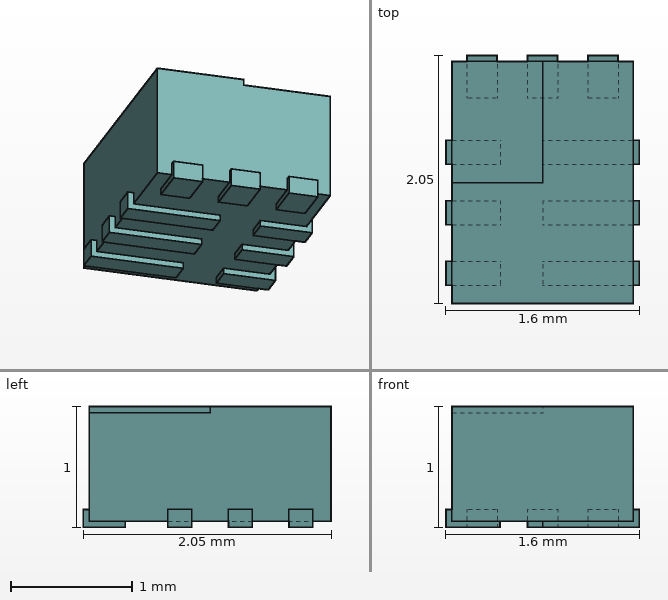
import cadquery as cq

BODY_X = 1.5
BODY_Y = 2.0
TOTAL_Z = 1.0

RECESS_X = BODY_X / 2
RECESS_Y = BODY_Y / 2
RECESS_DEPTH = 0.05

PLATING = 0.05
LIP_HEIGHT = 0.15
PITCH = 0.5
SIDE_WIDTH = 0.2
LEFT_REACH = 0.4
RIGHT_REACH = BODY_X / 2
SIDE_FIRST_Y = -0.75
SIDE_COUNT = 3
BACK_WIDTH = 0.25
BACK_REACH = 0.3
BACK_POSITIONS = (-PITCH, 0, PITCH)


def make_body():
    """Block standing on the feet, with the recess at its -X, +Y corner."""
    block = (
        cq.Workplane("XY")
        .workplane(offset=PLATING)
        .rect(BODY_X, BODY_Y)
        .extrude(TOTAL_Z - PLATING)
    )
    recess = cq.Workplane("XY").box(RECESS_X, RECESS_Y, RECESS_DEPTH, centered=False)
    return block.cut(recess.translate((-BODY_X / 2, 0, TOTAL_Z - RECESS_DEPTH)))


def make_terminal(width, reach):
    """Terminal for a wall in the plane X = 0, with the body on its -X side."""
    return (
        cq.Workplane("XZ")
        .moveTo(-reach, 0)
        .lineTo(PLATING, 0)
        .lineTo(PLATING, LIP_HEIGHT)
        .lineTo(0, LIP_HEIGHT)
        .lineTo(0, PLATING)
        .lineTo(-reach, PLATING)
        .close()
        .extrude(width / 2, both=True)
    )


def turn(shape, angle):
    """Rotate a shape about the Z axis."""
    return shape.rotate((0, 0, 0), (0, 0, 1), angle)


right_terminal = make_terminal(SIDE_WIDTH, RIGHT_REACH)
left_terminal = turn(make_terminal(SIDE_WIDTH, LEFT_REACH), 180)
back_terminal = turn(make_terminal(BACK_WIDTH, BACK_REACH), 90)

result = make_body()
for index in range(SIDE_COUNT):
    y = SIDE_FIRST_Y + index * PITCH
    result = result.union(right_terminal.translate((BODY_X / 2, y, 0)))
    result = result.union(left_terminal.translate((-BODY_X / 2, y, 0)))
for x in BACK_POSITIONS:
    result = result.union(back_terminal.translate((x, BODY_Y / 2, 0)))